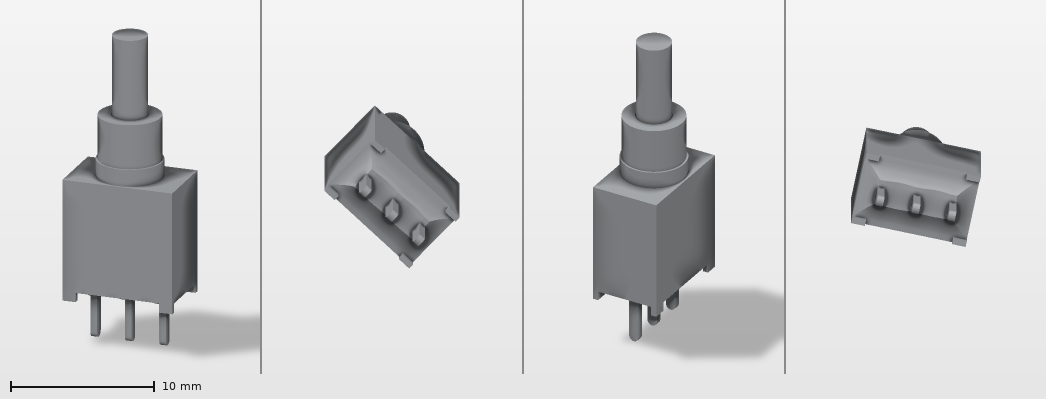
import cadquery as cq
import math

total_height = 22.6
foot_level = 3.3
case_top = 12.22
flange_top = 13.46
bushing_top = 16.72

case_length = 8.13
case_width = 5.08
foot_height = 0.68
foot_length = 0.97
foot_width = 0.4
ceiling_level = foot_level + foot_height

flange_diameter = 4.8
bushing_diameter = 4.52
bore_diameter = 2.62
plunger_diameter = 2.53

pin_count = 3
pin_pitch = 2.55
pin_thickness = 0.5
pin_width = 0.75
pin_tip_radius = pin_width / 2

mound_flat_half_length = 2.75
mound_flat_half_width = 0.88
mound_flank_run = 1.2
mound_sag = 0.1

flank_radius = (mound_flank_run**2 + foot_height**2) / (2 * foot_height)
flank_half_angle = math.asin(mound_flank_run / flank_radius) / 2
flank_mid_run = mound_flank_run - flank_radius * math.sin(flank_half_angle)
flank_mid_level = ceiling_level - flank_radius * (1 - math.cos(flank_half_angle))


def cylinder(diameter, bottom, top):
    """Upright cylinder on the Z axis."""
    return cq.Workplane("XY").workplane(offset=bottom).circle(diameter / 2).extrude(top - bottom)


def make_case():
    """Block standing on four corner feet, open between them along X and Y."""
    case = (
        cq.Workplane("XY")
        .workplane(offset=foot_level)
        .rect(case_length, case_width)
        .extrude(case_top - foot_level)
    )
    for gap_length, gap_width in (
        (case_length - 2 * foot_length, case_width),
        (case_length, case_width - 2 * foot_width),
    ):
        gap = cq.Workplane("XY").workplane(offset=foot_level).rect(gap_length, gap_width)
        case = case.cut(gap.extrude(foot_height))
    return case


def left_flank(plane, flat_half):
    """Open outline of the left flank, from the case underside down to the end of the flat."""
    return (
        cq.Workplane(plane)
        .moveTo(-flat_half - mound_flank_run, ceiling_level)
        .threePointArc((-flat_half - flank_mid_run, flank_mid_level), (-flat_half, foot_level))
    )


def close_right_flank(outline, flat_half):
    """Continue a mound outline up the right flank and close it along the underside."""
    return (
        outline.lineTo(flat_half, foot_level)
        .threePointArc(
            (flat_half + flank_mid_run, flank_mid_level),
            (flat_half + mound_flank_run, ceiling_level),
        )
        .close()
    )


def make_mound():
    """Sealing compound: the part common to its lengthwise and its crosswise section."""
    long_outline = left_flank("XZ", mound_flat_half_length)
    for gap in range(pin_count - 1):
        gap_center = (gap - (pin_count - 2) / 2) * pin_pitch
        gap_half = (pin_pitch - pin_thickness) / 2
        long_outline = long_outline.lineTo(gap_center - gap_half, foot_level).threePointArc(
            (gap_center, foot_level + mound_sag), (gap_center + gap_half, foot_level)
        )
    long_outline = close_right_flank(long_outline, mound_flat_half_length)

    cross_outline = close_right_flank(left_flank("YZ", mound_flat_half_width), mound_flat_half_width)
    lengthwise = long_outline.extrude(case_width / 2, both=True)
    crosswise = cross_outline.extrude(case_length / 2, both=True)
    return lengthwise.intersect(crosswise)


def make_pin(x):
    """Flat terminal with a round tip, reaching up to the case underside."""
    return (
        cq.Workplane("YZ", origin=(x, 0, 0))
        .moveTo(-pin_tip_radius, ceiling_level)
        .lineTo(-pin_tip_radius, pin_tip_radius)
        .threePointArc((0, 0), (pin_tip_radius, pin_tip_radius))
        .lineTo(pin_tip_radius, ceiling_level)
        .close()
        .extrude(pin_thickness / 2, both=True)
    )


def make_housing():
    """Case, sealing compound, pins and bored bushing as one solid."""
    body = make_case().union(make_mound())
    for index in range(pin_count):
        body = body.union(make_pin((index - (pin_count - 1) / 2) * pin_pitch))
    body = body.union(cylinder(flange_diameter, case_top, flange_top))
    body = body.union(cylinder(bushing_diameter, flange_top, bushing_top))
    return body.cut(cylinder(bore_diameter, case_top, bushing_top))


def make_plunger():
    """Push rod standing on the floor of the bushing bore."""
    return cylinder(plunger_diameter, case_top, total_height)


housing = make_housing()
plunger = make_plunger()

result = cq.Compound.makeCompound([housing.val(), plunger.val()])